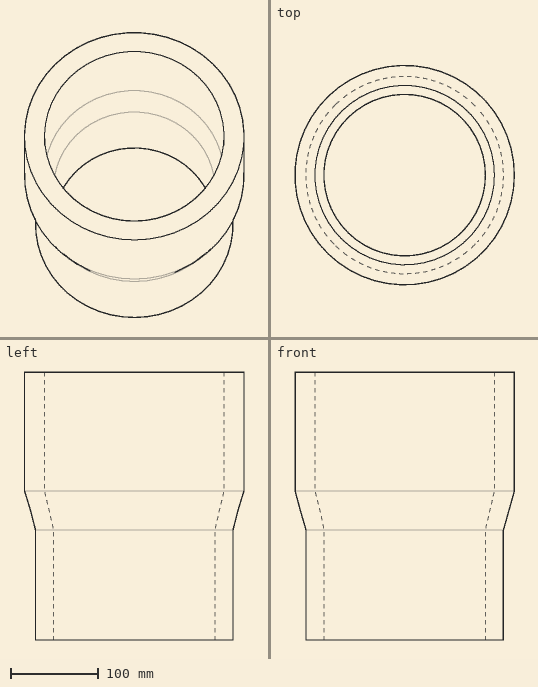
import cadquery as cq

height = 305.0
spigot_height = 125.0
taper_height = 44.5
shoulder_level = spigot_height + taper_height

socket_outer_radius = 250.0 / 2
socket_inner_radius = 204.5 / 2
spigot_outer_radius = 225.0 / 2
spigot_inner_radius = 183.5 / 2

wall_section = (
    cq.Workplane("XZ")
    .moveTo(spigot_inner_radius, 0)
    .lineTo(spigot_outer_radius, 0)
    .lineTo(spigot_outer_radius, spigot_height)
    .lineTo(socket_outer_radius, shoulder_level)
    .lineTo(socket_outer_radius, height)
    .lineTo(socket_inner_radius, height)
    .lineTo(socket_inner_radius, shoulder_level)
    .lineTo(spigot_inner_radius, spigot_height)
    .close()
)

result = wall_section.revolve(360, (0, 0, 0), (0, 1, 0))